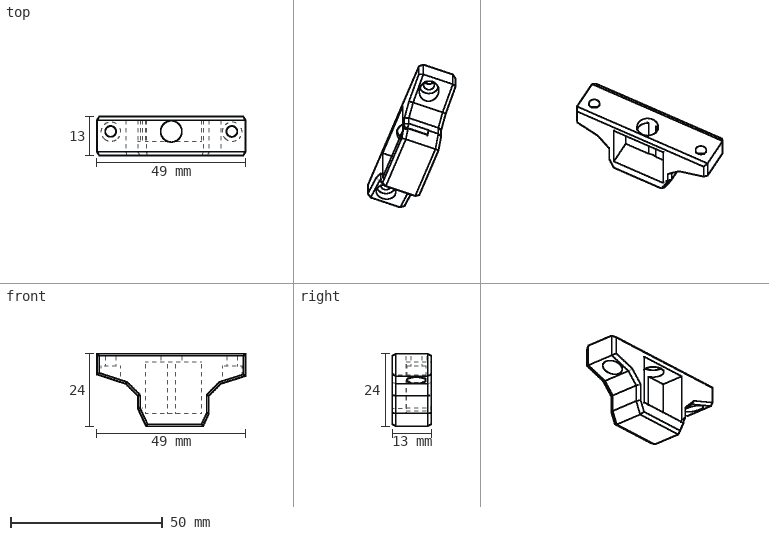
import cadquery as cq
import math

WIDTH = 49.0
THICKNESS = 13.0
HEIGHT = 24.0
BACK_Y = THICKNESS / 2
END_X = WIDTH / 2

LEFT_END_Z = 17.1
RIGHT_END_Z = 16.6
SHOULDER_Z = 14.0
NECK_Z = 10.1
LEFT_SHOULDER_X = -15.0
LEFT_NECK_X = -11.05
RIGHT_SHOULDER_X = 16.3
RIGHT_NECK_X = 12.45
LEFT_FOOT_Z = 5.9
RIGHT_FOOT_Z = 4.3
LEFT_BOTTOM_X = -8.3
RIGHT_BOTTOM_X = 10.5

BEVEL_DEPTH = 1.3
BEVEL_ANGLE = 30.0
BEVEL_INSET = BEVEL_DEPTH * math.tan(math.radians(BEVEL_ANGLE))

HOLE_Y = BACK_Y - 5.0
SCREW_X = 20.0
SCREW_DIAMETER = 3.5
SCREW_HEAD_DIAMETER = 6.4
SCREW_SEAT_Z = 20.0
CENTER_HOLE_DIAMETER = 7.0

POCKET_DEPTH = 8.25
POCKET_FLOOR_Z = 4.3
POCKET_CEILING_Z = 21.4
WALL = 2.5
POCKET_LEFT_X = LEFT_NECK_X + WALL
POCKET_RIGHT_X = RIGHT_NECK_X - WALL

SLOT_DEPTH = 1.4
SLOT_END_X = LEFT_NECK_X + SLOT_DEPTH
SLOT_FLOOR_Z = POCKET_FLOOR_Z
SLOT_LENGTH = POCKET_DEPTH
SLOT_ROOF_OUTER_Z = 6.2
SLOT_ROOF_ANGLE = 35.0


def outline(y):
    """Closed T outline on the plane at the given Y, extruding toward -Y."""
    points = [
        (-END_X, HEIGHT),
        (-END_X, LEFT_END_Z),
        (LEFT_SHOULDER_X, SHOULDER_Z),
        (LEFT_NECK_X, NECK_Z),
        (LEFT_NECK_X, LEFT_FOOT_Z),
        (LEFT_BOTTOM_X, 0),
        (RIGHT_BOTTOM_X, 0),
        (RIGHT_NECK_X, RIGHT_FOOT_Z),
        (RIGHT_NECK_X, NECK_Z),
        (RIGHT_SHOULDER_X, SHOULDER_Z),
        (END_X, RIGHT_END_Z),
        (END_X, HEIGHT),
    ]
    return cq.Workplane("XZ", origin=(0, y, 0)).polyline(points).close()


def body():
    """Straight middle with a tapered layer on the front and on the back."""
    bevel_y = BACK_Y - BEVEL_DEPTH
    middle = outline(bevel_y).extrude(THICKNESS - 2 * BEVEL_DEPTH)
    front = outline(-bevel_y).extrude(BEVEL_DEPTH, taper=BEVEL_ANGLE)
    back = front.mirror("XZ")
    return middle.union(front).union(back)


def vertical_hole(x, diameter, bottom_z, top_z):
    """Cylinder along Z on the common hole line."""
    return (
        cq.Workplane("XY", origin=(x, HOLE_Y, bottom_z))
        .circle(diameter / 2)
        .extrude(top_z - bottom_z)
    )


def screw_hole(x):
    """Through hole with a head recess from the underside of the arm."""
    shank = vertical_hole(x, SCREW_DIAMETER, 0, HEIGHT)
    head = vertical_hole(x, SCREW_HEAD_DIAMETER, 0, SCREW_SEAT_Z)
    return shank.union(head)


def back_pocket():
    """Rectangular pocket open to the back, joined by the center hole from above."""
    corner = (POCKET_LEFT_X, BACK_Y - POCKET_DEPTH, POCKET_FLOOR_Z)
    width = POCKET_RIGHT_X - POCKET_LEFT_X
    height = POCKET_CEILING_Z - POCKET_FLOOR_Z
    return cq.Workplane("XY", origin=corner).box(width, POCKET_DEPTH, height, centered=False)


def slot_profile(y, roof_lift):
    """Slot section at the given Y, its roof falling toward the inner end."""
    slope = math.tan(math.radians(SLOT_ROOF_ANGLE))
    roof_z = SLOT_ROOF_OUTER_Z + roof_lift
    drop = SLOT_DEPTH * slope
    outside_x = LEFT_NECK_X - SLOT_DEPTH
    points = [
        (outside_x, SLOT_FLOOR_Z),
        (SLOT_END_X, SLOT_FLOOR_Z),
        (SLOT_END_X, roof_z - drop),
        (outside_x, roof_z + drop),
    ]
    return cq.Workplane("XZ", origin=(0, y, 0)).polyline(points).close()


def side_slot():
    """Slot in the left neck wall; the bevel continues along its roof."""
    bevel_y = BACK_Y - BEVEL_DEPTH
    straight = slot_profile(BACK_Y, 0).extrude(SLOT_LENGTH)
    lift = BEVEL_INSET / math.cos(math.radians(SLOT_ROOF_ANGLE))
    sections = [slot_profile(bevel_y, 0).val(), slot_profile(BACK_Y, lift).val()]
    flare = cq.Workplane(cq.Solid.makeLoft(sections, True))
    return straight.union(flare)


result = body()
for side in (-1, 1):
    result = result.cut(screw_hole(side * SCREW_X))
result = result.cut(back_pocket())
result = result.cut(vertical_hole(0, CENTER_HOLE_DIAMETER, POCKET_FLOOR_Z, HEIGHT))
result = result.cut(side_slot())